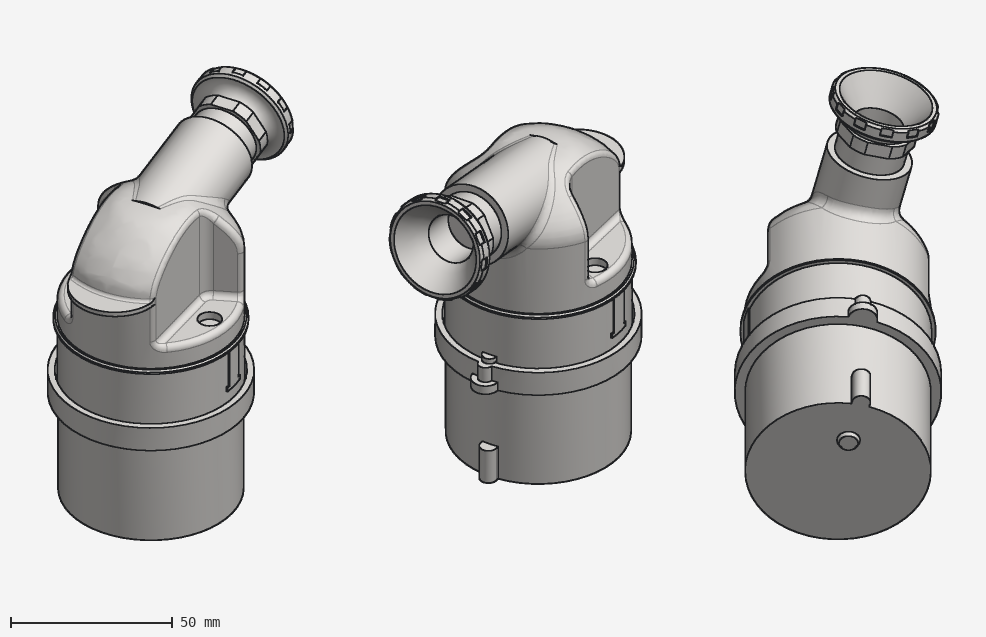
import cadquery as cq
import math

TURN = 2.7

PLUG_RADIUS = 28.8
PLUG_BOTTOM = 1.4
COLLAR_RADIUS = 32.0
COLLAR_BOTTOM = 37.3
COLLAR_TOP = 45.8
SEAT_RADIUS = 29.8
SEAT_DEPTH = 6.2
SEAT_Z = COLLAR_TOP - SEAT_DEPTH

NUB_Y = 13.5
NUB_TOP_RADIUS = 3.6
NUB_TIP_RADIUS = 3.0
KEY_Y = 29.8
KEY_RADIUS = 2.8
KEY_HEIGHT = 12.2
LUG_Y = 31.5
LUG_FOOT_RADIUS = 4.6
LUG_FOOT_TOP = 40.4
LUG_RADIUS = 2.5

HOOD_RADIUS = 29.0
DOME_TOP = 109.8
DOME_BOTTOM = 90.6
DOME_SHOULDER_RADIUS = 27.0
DOME_SHOULDER_Z = 96.7
DOME_MID_RADIUS = 15.5
DOME_MID_Z = 106.7
RIB_RADIUS = 30.2
RIB_BOTTOM = 64.8
RIB_TOP = 66.0
RIB_CHAMFER = 0.6

WEB_HALF_WIDTH = 14.7
POCKET_FLOOR = 74.1
POCKET_BACK_Y = 7.3
POCKET_BACK_ANGLE = 22.0
POCKET_CORNER_RADIUS = 4.3
POCKET_FILLET = 2.1
SCREW_HOLE_RADIUS = 3.8
SCREW_HOLE_DEPTH = 2.7
SCREW_CIRCLE_RADIUS = 22.7
SCREW_ANGLE = -8.0

TAB_RADIUS = WEB_HALF_WIDTH
TAB_Y = -23.0
TAB_TOP = 91.2
TAB_BOTTOM = 89.6
TAB_CONE_DROP = 6.2
TAB_FILLET = 1.1

STRIP_RADIUS = 29.5
STRIP_WIDTH = 5.9
STRIP_FOOT_WIDTH = 8.0
STRIP_BOTTOM = 49.5
STRIP_FOOT_HEIGHT = 1.5
STUD_Y = 29.0
STUD_RADIUS = 2.5
STUD_HEIGHT = 1.9

SPOUT_TILT = 9.0
SPOUT_RADIUS = 13.6
SPOUT_MOUTH_Y = 40.4
SPOUT_MOUTH_Z = 103.5
SPOUT_LENGTH = 42.0
SPOUT_FILLET = 3.7
NECK_RADIUS = 11.1
NUT_START = 7.3
NUT_END = 11.9
NUT_CORNER_RADIUS = 12.6
NUT_ACROSS_FLATS = 24.0
BELL_START = 16.2
BELL_END = 21.4
RIM_RADIUS = 17.0
RIM_CHAMFER = 0.9
MOUTH_RADIUS = 14.8
BORE_RADIUS = 8.0
GRIP_COUNT = 12
GRIP_WIDTH = 3.8
GRIP_DEPTH = 0.5
GRIP_START = 18.4


def disc(radius, bottom, top, y=0.0):
    """Upright cylinder between two heights, its axis at X = 0."""
    return cq.Workplane("XY", origin=(0, y, bottom)).circle(radius).extrude(top - bottom)


def make_base():
    plug = disc(PLUG_RADIUS, PLUG_BOTTOM, COLLAR_BOTTOM)
    collar = disc(COLLAR_RADIUS, COLLAR_BOTTOM, COLLAR_TOP)
    key = disc(KEY_RADIUS, PLUG_BOTTOM, PLUG_BOTTOM + KEY_HEIGHT, KEY_Y)
    key_root = cq.Workplane("XY").box(2 * KEY_RADIUS, KEY_Y, KEY_HEIGHT, centered=(True, False, False))
    key = key.union(key_root.translate((0, 0, PLUG_BOTTOM)))
    lug = disc(LUG_FOOT_RADIUS, COLLAR_BOTTOM, LUG_FOOT_TOP, LUG_Y)
    lug = lug.union(disc(LUG_RADIUS, LUG_FOOT_TOP, COLLAR_TOP, LUG_Y))
    nub = (
        cq.Workplane("XY", origin=(0, NUB_Y, 0)).circle(NUB_TIP_RADIUS)
        .workplane(offset=PLUG_BOTTOM).circle(NUB_TOP_RADIUS).loft()
    )
    seat = disc(SEAT_RADIUS, SEAT_Z, COLLAR_TOP)
    return plug.union(collar).union(key).union(lug).union(nub).cut(seat)


def make_shell():
    """Round wall closed by a shallow dome that runs smoothly into the wall."""
    profile = (
        cq.Workplane("XZ")
        .moveTo(0, SEAT_Z)
        .lineTo(HOOD_RADIUS, SEAT_Z)
        .lineTo(HOOD_RADIUS, DOME_BOTTOM)
        .spline(
            [(DOME_SHOULDER_RADIUS, DOME_SHOULDER_Z), (DOME_MID_RADIUS, DOME_MID_Z), (0, DOME_TOP)],
            tangents=[(0, 1), (-1, 0)],
            includeCurrent=True,
        )
        .close()
    )
    shell = profile.revolve(360, (0, 0), (0, 1))
    return shell.rotate((0, 0, 0), (0, 0, 1), -90)


def make_rib():
    profile = (
        cq.Workplane("XZ")
        .moveTo(HOOD_RADIUS - 1.2, RIB_BOTTOM)
        .lineTo(RIB_RADIUS, RIB_BOTTOM)
        .lineTo(RIB_RADIUS, RIB_TOP - RIB_CHAMFER)
        .lineTo(RIB_RADIUS - RIB_CHAMFER, RIB_TOP)
        .lineTo(HOOD_RADIUS - 1.2, RIB_TOP)
        .close()
    )
    return profile.revolve(360, (0, 0), (0, 1))


def make_pocket(side):
    """Prism that cuts one pocket; side is -1 or +1 along X."""
    reach = 24.7
    outer = WEB_HALF_WIDTH + reach
    back_outer = POCKET_BACK_Y + reach * math.tan(math.radians(POCKET_BACK_ANGLE))
    outline = [
        (side * WEB_HALF_WIDTH, -outer),
        (side * WEB_HALF_WIDTH, POCKET_BACK_Y),
        (side * outer, back_outer),
        (side * outer, -outer),
    ]
    prism = cq.Workplane("XY", origin=(0, 0, POCKET_FLOOR)).polyline(outline).close().extrude(61.7)
    corner = cq.selectors.NearestToPointSelector((side * WEB_HALF_WIDTH, POCKET_BACK_Y, 105))
    return prism.edges("|Z").edges(corner).fillet(POCKET_CORNER_RADIUS)


def cut_pockets(shell):
    """Cut both pockets, round all their edges and sink a screw hole in each floor."""
    for side in (-1, 1):
        shell = shell.cut(make_pocket(side))
    reach = 2 * HOOD_RADIUS
    pocket_zone = cq.selectors.BoxSelector(
        (WEB_HALF_WIDTH - 0.1, -reach, POCKET_FLOOR - 0.1), (reach, reach, DOME_TOP)
    )
    mirror_zone = cq.selectors.BoxSelector(
        (-reach, -reach, POCKET_FLOOR - 0.1), (0.1 - WEB_HALF_WIDTH, reach, DOME_TOP)
    )
    for zone in (pocket_zone, mirror_zone):
        shell = shell.edges(zone).fillet(POCKET_FILLET)
    for angle in (SCREW_ANGLE, SCREW_ANGLE + 180):
        hole = disc(SCREW_HOLE_RADIUS, POCKET_FLOOR - SCREW_HOLE_DEPTH, POCKET_FLOOR)
        hole = hole.translate((SCREW_CIRCLE_RADIUS, 0, 0))
        shell = shell.cut(hole.rotate((0, 0, 0), (0, 0, 1), angle))
    return shell


def aim_along_spout(shape):
    """Move a shape from the Z axis onto the spout axis, Z = 0 landing on the spout mouth."""
    turned = shape.rotate((0, 0, 0), (1, 0, 0), SPOUT_TILT - 90)
    return turned.translate((0, SPOUT_MOUTH_Y, SPOUT_MOUTH_Z))


def add_spout(shell):
    """Join the spout and blend it into the wall below and the dome above."""
    spout = aim_along_spout(disc(SPOUT_RADIUS, -SPOUT_LENGTH, 0))
    joined = shell.union(spout)
    reach = 2 * HOOD_RADIUS
    seam_zone = cq.selectors.BoxSelector(
        (-SPOUT_RADIUS - 0.1, -2.5, 80.2), (SPOUT_RADIUS + 0.1, reach, DOME_TOP + 1.2)
    )
    return joined.edges(seam_zone).edges("%BSPLINE").fillet(SPOUT_FILLET)


def make_tab():
    plate = disc(TAB_RADIUS, TAB_BOTTOM, TAB_TOP, TAB_Y)
    cone = cq.Solid.makeCone(
        0, TAB_RADIUS, TAB_CONE_DROP, pnt=cq.Vector(0, TAB_Y, TAB_BOTTOM - TAB_CONE_DROP)
    )
    front_half = cq.Workplane("XY").box(
        2 * TAB_RADIUS, TAB_RADIUS, TAB_TOP, centered=(True, False, False)
    ).translate((0, TAB_Y - TAB_RADIUS, 0))
    return plate.union(cq.Workplane(cone)).intersect(front_half)


def add_tab(hood):
    """Join the finger tab and round the inner corner between its top and the dome."""
    joined = hood.union(make_tab())
    corner_zone = cq.selectors.BoxSelector(
        (-1.2, -HOOD_RADIUS - 1.2, TAB_TOP - 0.1), (1.2, 1.2 - HOOD_RADIUS, TAB_TOP + 0.1), boundingbox=False
    )
    return joined.edges(corner_zone).fillet(TAB_FILLET)


def make_strips():
    """Raised strips with a wider foot, running under the rib on both sides."""
    length = 2 * STRIP_RADIUS
    strip = cq.Workplane("XY", origin=(0, 0, STRIP_BOTTOM)).rect(length, STRIP_WIDTH)
    strip = strip.extrude(RIB_BOTTOM - STRIP_BOTTOM)
    foot = cq.Workplane("XY", origin=(0, 0, STRIP_BOTTOM)).rect(length, STRIP_FOOT_WIDTH)
    strip = strip.union(foot.extrude(STRIP_FOOT_HEIGHT))
    return strip.intersect(disc(STRIP_RADIUS, STRIP_BOTTOM, RIB_BOTTOM))


def make_gland():
    """Neck, hexagon with turned corners and a bell mouth with grip notches in its rim."""
    profile = (
        cq.Workplane("XZ")
        .moveTo(BORE_RADIUS, 0)
        .lineTo(NECK_RADIUS, 0)
        .lineTo(NECK_RADIUS, NUT_END)
        .tangentArcPoint((RIM_RADIUS - RIM_CHAMFER, BELL_START), relative=False)
        .lineTo(RIM_RADIUS, BELL_START + RIM_CHAMFER)
        .lineTo(RIM_RADIUS, BELL_END - RIM_CHAMFER)
        .lineTo(RIM_RADIUS - RIM_CHAMFER, BELL_END)
        .lineTo(MOUTH_RADIUS, BELL_END)
        .lineTo(BORE_RADIUS, NUT_END)
        .close()
    )
    gland = profile.revolve(360, (0, 0), (0, 1))

    hexagon = cq.Workplane("XY", origin=(0, 0, NUT_START))
    hexagon = hexagon.polygon(6, NUT_ACROSS_FLATS, circumscribed=True).extrude(NUT_END - NUT_START)
    hexagon = hexagon.rotate((0, 0, 0), (0, 0, 1), 30)
    nut = hexagon.intersect(disc(NUT_CORNER_RADIUS, NUT_START, NUT_END))
    gland = gland.union(nut.cut(disc(NECK_RADIUS, NUT_START, NUT_END)))

    notch_floor = RIM_RADIUS - GRIP_DEPTH
    notch = cq.Workplane("XY").box(
        2 * GRIP_DEPTH, GRIP_WIDTH, BELL_END - GRIP_START, centered=(False, True, False)
    ).translate((notch_floor, 0, GRIP_START))
    for i in range(GRIP_COUNT):
        gland = gland.cut(notch.rotate((0, 0, 0), (0, 0, 1), i * 360 / GRIP_COUNT))
    return aim_along_spout(gland)


def make_hood():
    hood = add_tab(add_spout(cut_pockets(make_shell())))
    stud = disc(STUD_RADIUS, COLLAR_TOP, COLLAR_TOP + STUD_HEIGHT, STUD_Y)
    for feature in (make_rib(), make_strips(), stud, make_gland()):
        hood = hood.union(feature)
    return hood


def turned(body):
    return body.rotate((0, 0, 0), (0, 0, 1), TURN)


base = turned(make_base())
hood = turned(make_hood())

result = cq.Compound.makeCompound([base.val(), hood.val()])